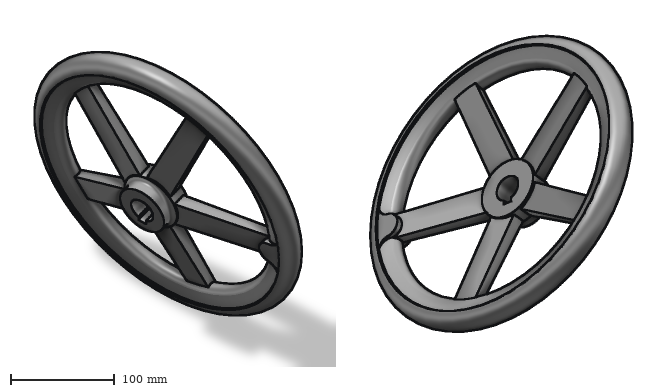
import cadquery as cq
import math

wheel_radius = 157.5
rim_depth = 28.0
overall_depth = 56.0
back_y = rim_depth / 2
hub_front_y = back_y - overall_depth

grip_radius = rim_depth / 2
grip_center = wheel_radius - grip_radius
rim_step = 2.0
web_outer_radius = 142.7
web_inner_radius = 124.5
web_corner_radius = 130.5
web_corner_half_depth = 8.5

hub_radius = 26.5
hub_base_radius = 31.5
hub_fillet = hub_base_radius - hub_radius
hub_base_y = -28.0
hub_back_y = -9.5
bore_radius = 13.2
keyway_width = 9.0
keyway_reach = 17.0

spoke_count = 5
spoke_inner_radius = 22.0
spoke_outer_radius = 129.0
spoke_inner_width = 29.5
spoke_outer_width = 27.0
spoke_slope = 0.235
spoke_front_y_at_axis = -33.7
spoke_inner_thickness = 14.8
spoke_outer_thickness = 10.7

boss_center = 131.5
boss_radius = 13.2
boss_front_y = -12.3
boss_neck_half_width = 13.0
boss_neck_x = 130.5
boss_flare_half_width = 26.0
boss_outer_radius = 143.3
boss_flare_bulge = 2.2


def make_rim():
    step_y = grip_radius - rim_step
    profile = (
        cq.Workplane("XY")
        .moveTo(grip_center, -grip_radius)
        .threePointArc((wheel_radius, 0), (grip_center, grip_radius))
        .lineTo(web_outer_radius, step_y)
        .lineTo(web_corner_radius, web_corner_half_depth)
        .threePointArc((web_inner_radius, 0), (web_corner_radius, -web_corner_half_depth))
        .lineTo(web_outer_radius, -step_y)
        .close()
    )
    return profile.revolve(360, (0, 0, 0), (0, 1, 0))


def make_hub():
    fillet_mid = hub_fillet * (1 - math.sqrt(0.5))
    profile = (
        cq.Workplane("XY")
        .moveTo(0, hub_front_y)
        .lineTo(hub_radius, hub_front_y)
        .lineTo(hub_radius, hub_base_y - hub_fillet)
        .threePointArc(
            (hub_radius + fillet_mid, hub_base_y - fillet_mid),
            (hub_base_radius, hub_base_y),
        )
        .lineTo(hub_base_radius, hub_back_y)
        .lineTo(0, hub_back_y)
        .close()
    )
    return profile.revolve(360, (0, 0, 0), (0, 1, 0))


def spoke_section(radius, width, thickness):
    """Rectangular spoke section standing across the spoke at the given radius."""
    front_y = spoke_front_y_at_axis + spoke_slope * radius
    half_width = width / 2
    corners = [
        cq.Vector(radius, front_y, -half_width),
        cq.Vector(radius, front_y, half_width),
        cq.Vector(radius, front_y + thickness, half_width),
        cq.Vector(radius, front_y + thickness, -half_width),
    ]
    return cq.Wire.makePolygon(corners, close=True)


def make_spoke():
    inner = spoke_section(spoke_inner_radius, spoke_inner_width, spoke_inner_thickness)
    outer = spoke_section(spoke_outer_radius, spoke_outer_width, spoke_outer_thickness)
    return cq.Workplane("XY").add(cq.Solid.makeLoft([inner, outer], True))


def make_boss():
    """Round boss flaring through concave sides into the rim."""
    flare_x = math.sqrt(boss_outer_radius**2 - boss_flare_half_width**2)
    mid_x = (boss_neck_x + flare_x) / 2 + boss_flare_bulge
    mid_z = (boss_neck_half_width + boss_flare_half_width) / 2 - boss_flare_bulge
    outline = (
        cq.Workplane("XZ", origin=(0, -boss_front_y, 0))
        .moveTo(boss_neck_x, boss_neck_half_width)
        .threePointArc((boss_center - boss_radius, 0), (boss_neck_x, -boss_neck_half_width))
        .threePointArc((mid_x, -mid_z), (flare_x, -boss_flare_half_width))
        .threePointArc((boss_outer_radius, 0), (flare_x, boss_flare_half_width))
        .threePointArc((mid_x, mid_z), (boss_neck_x, boss_neck_half_width))
        .close()
    )
    return outline.extrude(-2 * boss_front_y)


def make_bore():
    """Through bore with a keyway on its -Z side."""
    bore_plane = cq.Workplane("XZ", origin=(0, back_y, 0))
    bore = bore_plane.circle(bore_radius).extrude(overall_depth)
    keyway = (
        bore_plane.center(0, -keyway_reach / 2)
        .rect(keyway_width, keyway_reach)
        .extrude(overall_depth)
    )
    return bore.union(keyway)


result = make_rim().union(make_hub())
for index in range(spoke_count):
    angle = index * 360 / spoke_count
    result = result.union(make_spoke().rotate((0, 0, 0), (0, 1, 0), angle))
result = result.union(make_boss()).cut(make_bore())